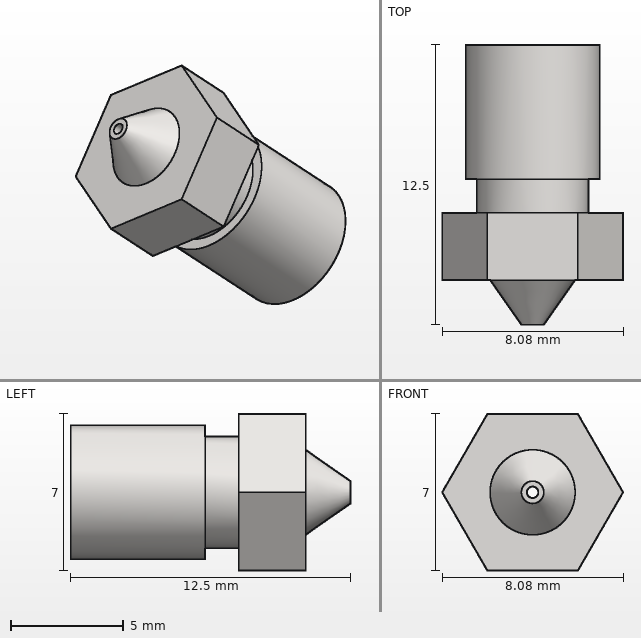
import cadquery as cq
import math

tip_length = 2.0
tip_end_diameter = 1.0
tip_base_diameter = 3.8

hex_across_flats = 7.0
hex_length = 3.0

neck_diameter = 5.0
neck_length = 1.5

shank_diameter = 6.0
shank_length = 6.0

orifice_diameter = 0.5

hex_start = tip_length
neck_start = hex_start + hex_length
shank_start = neck_start + neck_length
total_length = shank_start + shank_length


def section_plane(y):
    """Plane across the nozzle axis at y, facing +Y, with its local x along X."""
    return cq.Workplane(cq.Plane(origin=(0, y, 0), xDir=(1, 0, 0), normal=(0, 1, 0)))


def cylinder(diameter, start, length):
    return section_plane(start).circle(diameter / 2).extrude(length)


def conical_tip():
    return (
        section_plane(0)
        .circle(tip_end_diameter / 2)
        .workplane(offset=tip_length)
        .circle(tip_base_diameter / 2)
        .loft(ruled=True)
    )


def hex_body():
    """Wrench hexagon with two corners on the X axis and flats facing +Z and -Z."""
    across_corners = hex_across_flats / math.cos(math.pi / 6)
    return section_plane(hex_start).polygon(6, across_corners).extrude(hex_length)


body = (
    conical_tip()
    .union(hex_body())
    .union(cylinder(neck_diameter, neck_start, neck_length))
    .union(cylinder(shank_diameter, shank_start, shank_length))
)

result = body.cut(cylinder(orifice_diameter, 0, total_length))